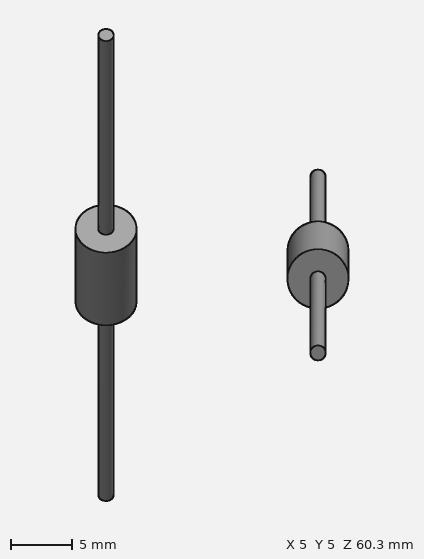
import cadquery as cq

total_length = 60.3
body_diameter = 5.0
body_length = 9.5
lead_diameter = 1.25


def centred_cylinder(diameter, length):
    """Solid cylinder along Z with its middle at the origin."""
    return cq.Workplane("XY").cylinder(length, diameter / 2)


body = centred_cylinder(body_diameter, body_length)

leads = centred_cylinder(lead_diameter, total_length)

result = body.union(leads)